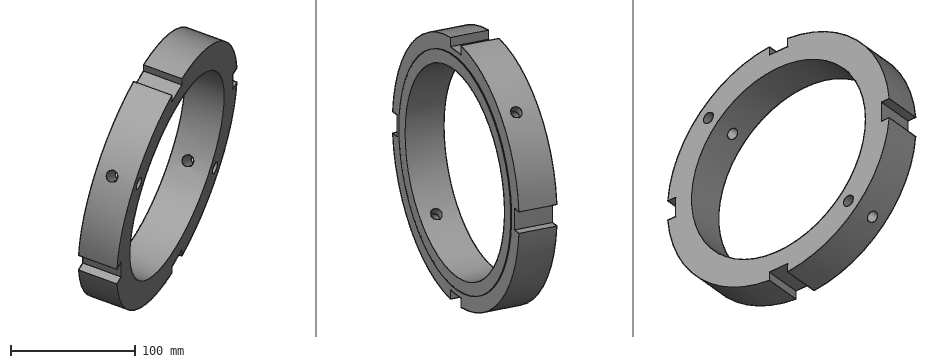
import cadquery as cq
import math

ring_length = 35.0
boss_height = 1.0
body_length = ring_length - boss_height
span = 229.3
bore_diameter = 180.0
boss_diameter = 203.0

slot_count = 4
slot_width = 18.8
slot_floor_radius = 106.6

radial_hole_diameter = 9.6
axial_hole_diameter = 10.0
hole_x = 15.1
hole_angles = (135, 315)

outer_radius = math.hypot(span / 2, slot_width / 2)
wall_middle_radius = (outer_radius + bore_diameter / 2) / 2


def make_ring():
    body = cq.Workplane("YZ").workplane(offset=boss_height).circle(outer_radius).extrude(body_length)
    boss = cq.Workplane("YZ").circle(boss_diameter / 2).extrude(ring_length)
    bore = cq.Workplane("YZ").circle(bore_diameter / 2).extrude(ring_length)
    return body.union(boss).cut(bore)


def make_slot(angle):
    slot_depth = outer_radius - slot_floor_radius
    slot = cq.Workplane("XY").box(ring_length, slot_depth, slot_width, centered=(False, False, True))
    return slot.translate((0, slot_floor_radius, 0)).rotate((0, 0, 0), (1, 0, 0), angle)


def make_radial_hole(angle):
    hole = cq.Solid.makeCylinder(
        radial_hole_diameter / 2, outer_radius, cq.Vector(hole_x, 0, 0), cq.Vector(0, 1, 0)
    )
    return cq.Workplane(hole).rotate((0, 0, 0), (1, 0, 0), angle)


def make_axial_hole(angle):
    start = cq.Vector(hole_x, wall_middle_radius, 0)
    hole = cq.Solid.makeCylinder(
        axial_hole_diameter / 2, ring_length - hole_x, start, cq.Vector(1, 0, 0)
    )
    return cq.Workplane(hole).rotate((0, 0, 0), (1, 0, 0), angle)


result = make_ring()
for index in range(slot_count):
    result = result.cut(make_slot(index * 360 / slot_count))
for hole_angle in hole_angles:
    result = result.cut(make_radial_hole(hole_angle))
    result = result.cut(make_axial_hole(hole_angle))